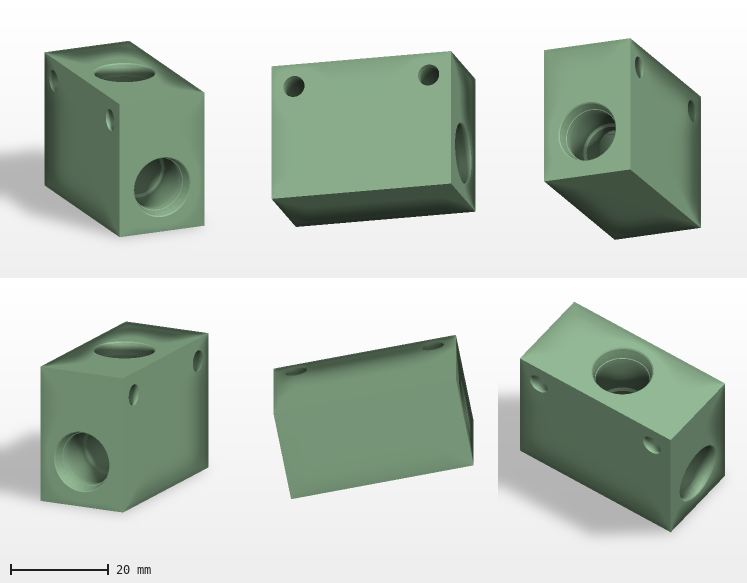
import cadquery as cq
import math

length = 38.1
width = 19.05
height = 28.58

rim_diameter = 12.8
cone_mouth_diameter = 12.35
cone_half_angle = 12.0
cone_end_depth = 2.48
lead_in_height = 0.08
thread_diameter = 11.13
thread_end_depth = 11.43
pilot_diameter = 9.9
drill_point_angle = 118.0
run_axis_height = 9.52

mounting_hole_diameter = 4.5
mounting_hole_inset = 4.75


def port_cutter(depth):
    """Stepped port on the Z axis, opening at Z = 0 and reaching down by depth."""
    rim_radius = rim_diameter / 2
    cone_mouth_radius = cone_mouth_diameter / 2
    thread_radius = thread_diameter / 2
    pilot_radius = pilot_diameter / 2
    rim_depth = rim_radius - cone_mouth_radius
    cone_length = cone_end_depth - rim_depth
    cone_end_radius = cone_mouth_radius - cone_length * math.tan(math.radians(cone_half_angle))
    drill_shoulder_height = (thread_radius - pilot_radius) / math.tan(math.radians(drill_point_angle / 2))
    profile = [
        (0, 0),
        (rim_radius, 0),
        (cone_mouth_radius, -rim_depth),
        (cone_end_radius, -cone_end_depth),
        (thread_radius, -cone_end_depth - lead_in_height),
        (thread_radius, -thread_end_depth),
        (pilot_radius, -thread_end_depth - drill_shoulder_height),
        (pilot_radius, -depth),
        (0, -depth),
    ]
    return cq.Workplane("XZ").polyline(profile).close().revolve(360, (0, 0, 0), (0, 1, 0))


block = cq.Workplane("XY").box(length, width, height, centered=(True, True, False))

branch = port_cutter(height - run_axis_height).translate((0, 0, height))
block = block.cut(branch)

for side in (-1, 1):
    end_port = port_cutter(length / 2).rotate((0, 0, 0), (0, 1, 0), side * 90)
    block = block.cut(end_port.translate((side * length / 2, 0, run_axis_height)))

hole_x = length / 2 - mounting_hole_inset
hole_z = height - mounting_hole_inset
mounting_holes = (
    cq.Workplane("XZ", origin=(0, width / 2, 0))
    .pushPoints([(-hole_x, hole_z), (hole_x, hole_z)])
    .circle(mounting_hole_diameter / 2)
    .extrude(width)
)

result = block.cut(mounting_holes)